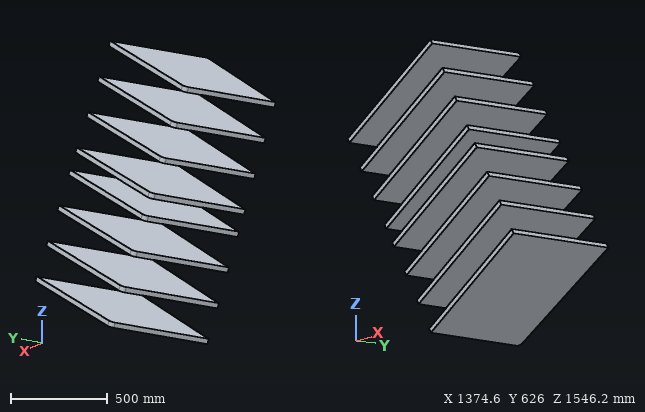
import cadquery as cq
import math

TILT = 31.5
BOARD_LENGTH = 802.0
BOARD_THICKNESS = 30.0
CORNER_RADIUS = 25.0

BOARDS_PER_GROUP = 4
BOARD_PITCH = 195.0
GROUP_GAP = 122.0

FULL_DEPTH = 626.0
DEPTH_SLOPE = 0.057

SIN_TILT = math.sin(math.radians(TILT))
COS_TILT = math.cos(math.radians(TILT))


def depth_at(x):
    """Depth of the slanted rear line; x = 0 is the low end of the lowest board."""
    return FULL_DEPTH + DEPTH_SLOPE * (x - BOARD_LENGTH * COS_TILT)


def make_board(height):
    """One board whose underside lies at the given height along the normal."""
    low_x = -height * SIN_TILT
    low_z = height * COS_TILT
    high_x = low_x + BOARD_LENGTH * COS_TILT
    board = (
        cq.Workplane("XY")
        .polyline([
            (0, 0),
            (BOARD_LENGTH, 0),
            (BOARD_LENGTH, depth_at(high_x)),
            (0, depth_at(low_x)),
        ])
        .close()
        .extrude(BOARD_THICKNESS)
        .edges(cq.selectors.NearestToPointSelector((0, depth_at(low_x), BOARD_THICKNESS / 2)))
        .fillet(CORNER_RADIUS)
    )
    return board.rotate((0, 0, 0), (0, -1, 0), TILT).translate((low_x, 0, low_z))


upper_group_start = (BOARDS_PER_GROUP - 1) * BOARD_PITCH + GROUP_GAP
boards = []
for group_start in (0, upper_group_start):
    for index in range(BOARDS_PER_GROUP):
        boards.append(make_board(group_start + index * BOARD_PITCH))

result = cq.Compound.makeCompound([board.val() for board in boards])